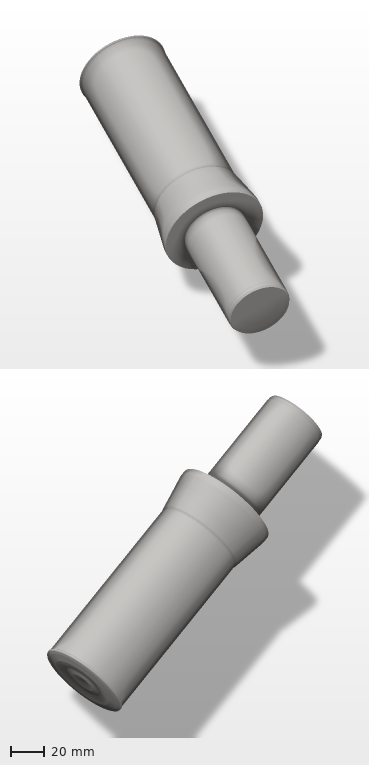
import cadquery as cq

tip_length = 3.2
barrel_end = 116.2
cone_start = 117.5
cone_end = 138.9
flange_start = 139.5
flange_end = 144.0
neck_end = 145.7
shank_end = 210.4
overall_length = 214.0

tip_radius = 56.0 / 2
barrel_radius = 55.0 / 2
flange_radius = 64.0 / 2
shank_radius = 40.0 / 2
neck_radius = 39.5 / 2
cone_start_radius = 28.0
cone_end_radius = 31.9

flange_bevel_length = 0.6
flange_bevel_depth = 0.2
neck_bevel_length = 1.0
shank_bevel_length = 0.6
end_bevel_length = 1.3
end_bevel_depth = 0.6
tip_back_bevel = tip_radius - barrel_radius

outer_crest_radius = 20.0
valley_radius = 12.6
inner_crest_radius = 7.7
face_slope = 0.15

bevel_start_radius = 25.7
corner_start = 1.3
corner_radius = 1.0


def revolve_about_axis(profile):
    """Turn a closed X-radius profile into a solid of revolution about X."""
    return profile.close().revolve(360, (0, 0, 0), (1, 0, 0))


def make_cutting_tip():
    valley_depth = face_slope * (outer_crest_radius - valley_radius)
    inner_crest_depth = valley_depth - face_slope * (valley_radius - inner_crest_radius)
    center_depth = inner_crest_depth + face_slope * inner_crest_radius
    bevel_start = face_slope * (bevel_start_radius - outer_crest_radius)
    profile = (
        cq.Workplane("XY")
        .moveTo(center_depth, 0)
        .lineTo(inner_crest_depth, inner_crest_radius)
        .lineTo(valley_depth, valley_radius)
        .lineTo(0, outer_crest_radius)
        .lineTo(bevel_start, bevel_start_radius)
        .lineTo(corner_start, tip_radius - corner_radius)
        .radiusArc((corner_start + corner_radius, tip_radius), corner_radius)
        .lineTo(tip_length - tip_back_bevel, tip_radius)
        .lineTo(tip_length, tip_radius - tip_back_bevel)
        .lineTo(tip_length, 0)
    )
    return revolve_about_axis(profile)


def make_holder():
    profile = (
        cq.Workplane("XY")
        .moveTo(tip_length, 0)
        .lineTo(tip_length, barrel_radius)
        .lineTo(barrel_end, barrel_radius)
        .lineTo(cone_start, cone_start_radius)
        .lineTo(cone_end, cone_end_radius)
        .lineTo(flange_start, flange_radius)
        .lineTo(flange_end - flange_bevel_length, flange_radius)
        .lineTo(flange_end, flange_radius - flange_bevel_depth)
        .lineTo(flange_end, neck_radius)
        .lineTo(neck_end - neck_bevel_length, neck_radius)
        .lineTo(neck_end, shank_radius)
        .lineTo(shank_end, shank_radius)
        .lineTo(shank_end + shank_bevel_length, neck_radius)
        .lineTo(overall_length - end_bevel_length, neck_radius)
        .lineTo(overall_length, neck_radius - end_bevel_depth)
        .lineTo(overall_length, 0)
    )
    return revolve_about_axis(profile)


cutting_tip = make_cutting_tip()
holder = make_holder()
result = cq.Compound.makeCompound([cutting_tip.val(), holder.val()])